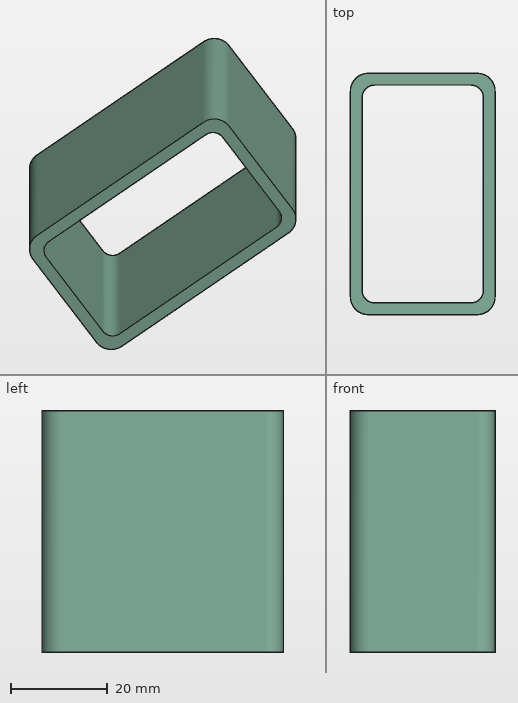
import cadquery as cq

width = 30.0
depth = 50.0
height = 50.0
wall = 2.5
outer_radius = 3.75
inner_radius = 2.5


def rounded_block(size_x, size_y, corner_radius):
    """Full-height block centred on Z with rounded vertical edges."""
    block = cq.Workplane("XY").rect(size_x, size_y).extrude(height)
    return block.edges("|Z").fillet(corner_radius)


outer = rounded_block(width, depth, outer_radius)
bore = rounded_block(width - 2 * wall, depth - 2 * wall, inner_radius)

result = outer.cut(bore)